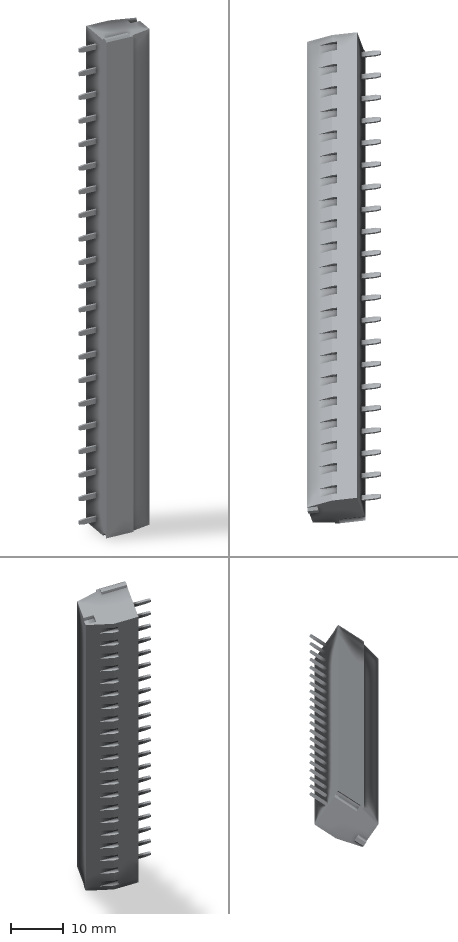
import cadquery as cq


overall_length = 106.0

pole_count = 21
body_length = 104.9
pitch = body_length / pole_count
first_pole_z = 2.4
body_width = 8.1
body_depth = 10.0
half_width = body_width / 2
left_shoulder_y = 4.9
left_slope_inset = 1.4
right_shoulder_y = 5.8
right_step = 0.4
right_slope_inset = 1.3

window_front_y = 3.9
window_back_y = 7.4
window_height = 1.9
window_depth = 0.7

pin_length = 3.7
pin_thickness = 0.4
pin_height = 1.1
pin_tip_length = 1.0
pin_tip_height = 0.7

rail_inner_x = 2.6
rail_length = 5.1
rail_height = 0.4
rail_flank = 0.3
rail_groove_depth = 0.6

tongue_x = -1.8
tongue_base_width = 1.5
tongue_tip_width = 0.8
tongue_height = overall_length - body_length - rail_height
tongue_length = 2.0


def prism_along_y(points, start_y, length):
    """Extrude an XZ outline from start_y towards +Y."""
    plane = cq.Plane(origin=(0, start_y, 0), xDir=(1, 0, 0), normal=(0, -1, 0))
    return cq.Workplane(plane).polyline(points).close().extrude(-length)


def make_body():
    """Body with sloped sides behind the shoulders, extruded along the row."""
    outline = [
        (-half_width, 0),
        (half_width, 0),
        (half_width, right_shoulder_y),
        (half_width - right_step, right_shoulder_y),
        (half_width - right_slope_inset, body_depth),
        (-half_width + left_slope_inset, body_depth),
        (-half_width, left_shoulder_y),
    ]
    return cq.Workplane("XY").polyline(outline).close().extrude(body_length)


def make_window(pole_z):
    """Blind pocket reaching across the left shoulder, with its floor parallel to the side."""
    window_length = window_back_y - window_front_y
    window = cq.Workplane("XY").box(
        window_depth, window_length, window_height, centered=(False, False, True)
    )
    return window.translate((-half_width, window_front_y, pole_z))


def make_pin(pole_z):
    """Flat pin of constant thickness, tapering in height towards its tip."""
    shank_end_y = pin_tip_length - pin_length
    outline = [
        (0, -pin_height / 2),
        (0, pin_height / 2),
        (shank_end_y, pin_height / 2),
        (-pin_length, pin_tip_height / 2),
        (-pin_length, -pin_tip_height / 2),
        (shank_end_y, -pin_height / 2),
    ]
    pin = cq.Workplane("YZ").polyline(outline).close().extrude(pin_thickness / 2, both=True)
    return pin.translate((0, 0, pole_z))


def make_rail(base_z, height):
    """Trapezoidal rail rising from base_z beside the right edge."""
    outline = [
        (rail_inner_x, base_z),
        (half_width, base_z),
        (half_width - rail_flank, base_z + height),
        (rail_inner_x + rail_flank, base_z + height),
    ]
    return prism_along_y(outline, 0, rail_length)


def make_tongue(base_z):
    """Tapered tongue hanging from base_z at the back."""
    outline = [
        (tongue_x - tongue_base_width / 2, base_z),
        (tongue_x + tongue_base_width / 2, base_z),
        (tongue_x + tongue_tip_width / 2, base_z - tongue_height),
        (tongue_x - tongue_tip_width / 2, base_z - tongue_height),
    ]
    return prism_along_y(outline, body_depth - tongue_length, tongue_length)


result = make_body()

result = result.cut(make_rail(0, rail_groove_depth))
result = result.cut(make_tongue(body_length))
result = result.union(make_rail(body_length, rail_height))
result = result.union(make_tongue(0))

for pole in range(pole_count):
    pole_z = first_pole_z + pole * pitch
    result = result.cut(make_window(pole_z))
    result = result.union(make_pin(pole_z))